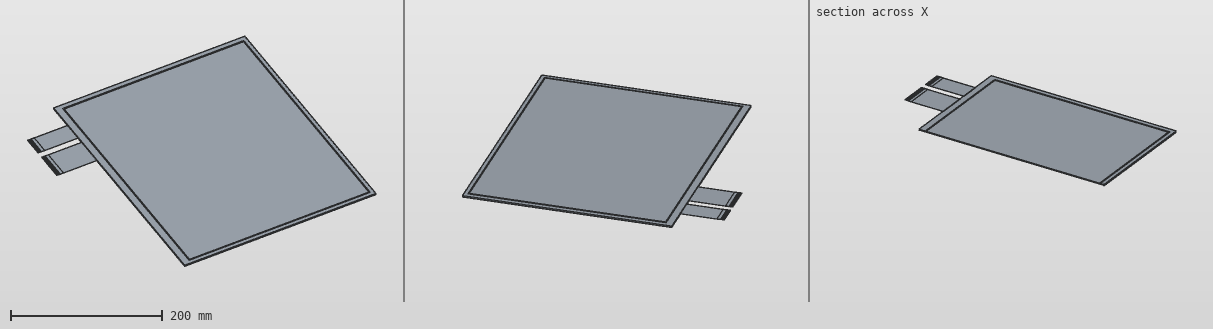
import cadquery as cq

panel_width = 353.5
overall_depth = 349.0
panel_thickness = 2.35

panel_depth = 288.5
rim_left = 6.8
rim_right = 5.5
rim_front = 9.8
rim_back = 5.5

groove_width_left = 2.0
groove_width = 1.4
groove_depth = 0.2

tail_length = overall_depth - panel_depth
strip_bottom = 1.1
strip_thickness = 0.3
small_tail_left = 38.0
small_tail_width = 28.5
large_tail_left = 76.0
large_tail_width = 41.0
tail_specs = [
    (small_tail_left, small_tail_width),
    (large_tail_left, large_tail_width),
]

stiffener_length = 10.0
stiffener_thickness = 0.2
stiffener_bottom = strip_bottom + strip_thickness
contact_length = 5.2
contact_thickness = 0.05
contact_pitch = 0.8
contact_width = contact_pitch / 2


def block(left, front, bottom, width, depth, height):
    """Axis-aligned box placed by its lower left front corner."""
    return cq.Workplane("XY").box(width, depth, height, centered=False).translate((left, front, bottom))


def make_panel():
    """Flat sheet with a shallow rectangular groove around the viewing area."""
    sheet = block(0, 0, 0, panel_width, panel_depth, panel_thickness)
    framed_width = panel_width - rim_left - rim_right
    framed_depth = panel_depth - rim_front - rim_back
    groove_floor = panel_thickness - groove_depth
    framed_area = block(rim_left, rim_front, groove_floor, framed_width, framed_depth, groove_depth)
    viewing_area = block(
        rim_left + groove_width_left,
        rim_front + groove_width,
        groove_floor,
        framed_width - groove_width_left - groove_width,
        framed_depth - 2 * groove_width,
        groove_depth,
    )
    return sheet.cut(framed_area.cut(viewing_area))


def add_contacts(tail, left, width):
    """Add a centred row of contact fingers under the overhanging stiffener."""
    contact_count = int(width / contact_pitch)
    row_width = (contact_count - 1) * contact_pitch + contact_width
    first_contact = left + (width - row_width) / 2
    contact_bottom = stiffener_bottom - contact_thickness
    for index in range(contact_count):
        contact_left = first_contact + index * contact_pitch
        tail = tail.union(
            block(contact_left, -tail_length, contact_bottom, contact_width, contact_length, contact_thickness)
        )
    return tail


def make_tail(left, width):
    """Thin strip leaving the front edge, with a stiffener reaching past its end."""
    strip_length = tail_length - contact_length
    strip = block(left, -strip_length, strip_bottom, width, strip_length, strip_thickness)
    stiffener = block(left, -tail_length, stiffener_bottom, width, stiffener_length, stiffener_thickness)
    return add_contacts(strip.union(stiffener), left, width)


result = make_panel()
for tail_left, tail_width in tail_specs:
    result = result.union(make_tail(tail_left, tail_width))